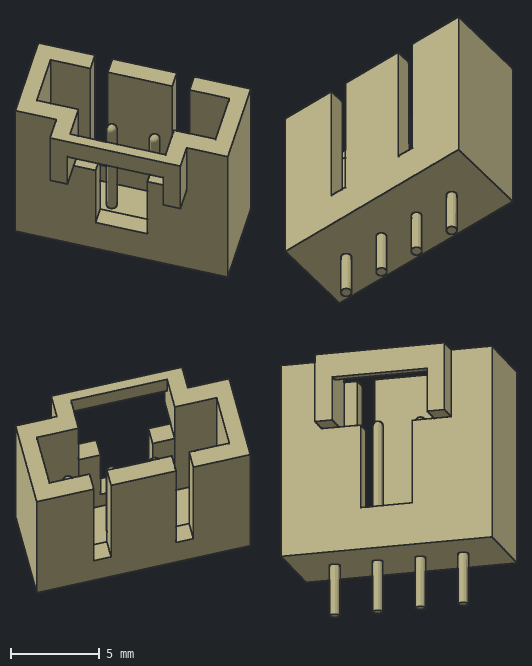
import cadquery as cq

HOUSING_LENGTH = 12.5
HOUSING_DEPTH = 5.0
HOUSING_HEIGHT = 11.4
WALL = 1.0
LATCH_RELIEF = 0.03
CAVITY_FLOOR = 1.0

TOTAL_DEPTH = 6.35
LATCH_LENGTH = 7.66
LATCH_HEIGHT = 4.0
LATCH_OPENING = 5.62
LATCH_BAR_THICKNESS = 0.56
LATCH_BAR_HEIGHT = 1.44

FRONT_SLOT_WIDTH = 3.04
FRONT_SLOT_FLOOR = 2.48
BACK_SLOT_INNER = 1.9
BACK_SLOT_OUTER = 2.91
BACK_SLOT_FLOOR = 2.48

PIN_RADIUS = 0.3
PIN_PITCH = 2.53
PIN_TAIL = 3.0
POST_TIP_HEIGHT = 8.4
POST_SETBACKS = (2.32, 2.43, 2.48, 2.48)


def block(x_min, x_max, y_min, y_max, z_min, z_max):
    """Box given by its limits along each axis."""
    size = (x_max - x_min, y_max - y_min, z_max - z_min)
    return cq.Workplane("XY").box(*size, centered=False).translate((x_min, y_min, z_min))


def centered_block(length, y_min, y_max, z_min, z_max):
    """Box centred on X = 0."""
    return block(-length / 2, length / 2, y_min, y_max, z_min, z_max)


def pin_tail(x):
    """Straight tail below the housing, on its middle plane."""
    tail = cq.Workplane("XY").circle(PIN_RADIUS).extrude(-PIN_TAIL)
    return tail.translate((x, -HOUSING_DEPTH / 2, 0))


def pin_post(x, y):
    """Contact post rising from the cavity floor, with a hemispherical top."""
    shaft_length = POST_TIP_HEIGHT - PIN_RADIUS - CAVITY_FLOOR
    shaft = cq.Workplane("XY").circle(PIN_RADIUS).extrude(shaft_length)
    tip = cq.Workplane("XY").sphere(PIN_RADIUS).translate((0, 0, shaft_length))
    return shaft.union(tip).translate((x, y, CAVITY_FLOOR))


latch_underside = HOUSING_HEIGHT - LATCH_HEIGHT
body = centered_block(HOUSING_LENGTH, -HOUSING_DEPTH, 0, 0, HOUSING_HEIGHT)
latch = centered_block(LATCH_LENGTH, -TOTAL_DEPTH, -HOUSING_DEPTH, latch_underside, HOUSING_HEIGHT)
body = body.union(latch)

cavity_front = WALL + LATCH_RELIEF - HOUSING_DEPTH
cavity_length = HOUSING_LENGTH - 2 * WALL
body = body.cut(centered_block(cavity_length, cavity_front, -WALL, CAVITY_FLOOR, HOUSING_HEIGHT))

relief_front = cavity_front - LATCH_RELIEF
body = body.cut(centered_block(LATCH_OPENING, relief_front, cavity_front, CAVITY_FLOOR, HOUSING_HEIGHT))

bar_back = LATCH_BAR_THICKNESS - TOTAL_DEPTH
bar_underside = HOUSING_HEIGHT - LATCH_BAR_HEIGHT
body = body.cut(centered_block(LATCH_OPENING, bar_back, cavity_front, latch_underside, HOUSING_HEIGHT))
body = body.cut(centered_block(LATCH_OPENING, -TOTAL_DEPTH, bar_back, latch_underside, bar_underside))

body = body.cut(
    centered_block(FRONT_SLOT_WIDTH, -HOUSING_DEPTH, cavity_front, FRONT_SLOT_FLOOR, latch_underside)
)

for x_min, x_max in ((-BACK_SLOT_OUTER, -BACK_SLOT_INNER), (BACK_SLOT_INNER, BACK_SLOT_OUTER)):
    body = body.cut(block(x_min, x_max, -WALL, 0, BACK_SLOT_FLOOR, HOUSING_HEIGHT))

for index, setback in enumerate(POST_SETBACKS):
    pin_x = (index - (len(POST_SETBACKS) - 1) / 2) * PIN_PITCH
    body = body.union(pin_tail(pin_x)).union(pin_post(pin_x, -setback))

result = body